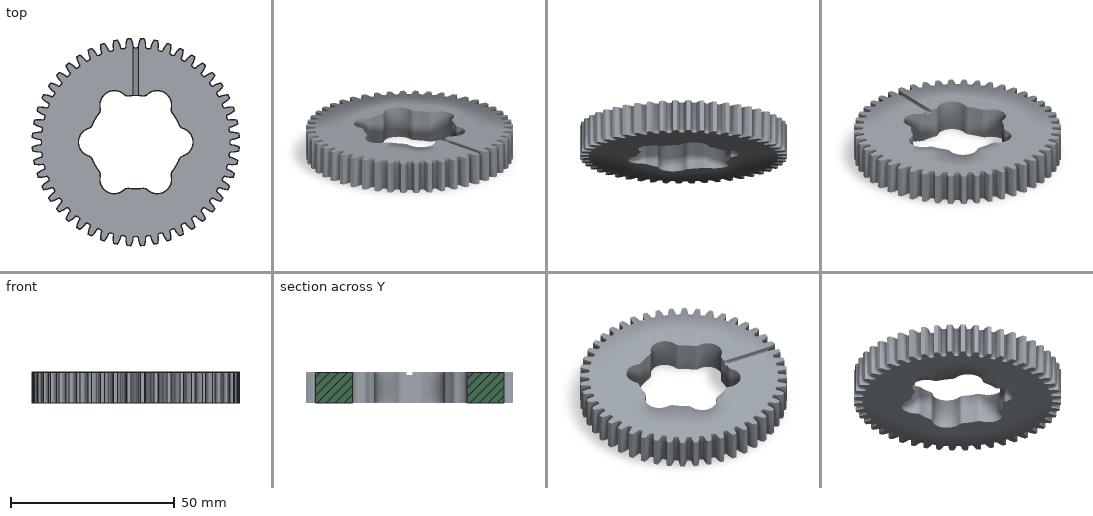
import cadquery as cq
import math

tooth_count = 48
outer_diameter = 63.5
thickness = 9.5
pressure_angle = math.radians(14.5)
root_fillet = 0.5
flank_points = 6

dedendum_factor = 1.25
module = outer_diameter / (tooth_count + 2)
pitch_radius = module * tooth_count / 2
tip_radius = outer_diameter / 2
root_radius = pitch_radius - dedendum_factor * module
base_radius = pitch_radius * math.cos(pressure_angle)

lobe_count = 6
bore_radius = 14.3
lobe_center_radius = 13.1
lobe_radius = 4.4
bore_fillet = 1.9

slot_width = 1.7
slot_depth = 0.95
slot_mouth_fillet = 0.4


def polar(radius, angle):
    return (radius * math.cos(angle), radius * math.sin(angle))


def involute(angle):
    return math.tan(angle) - angle


def gap_flank():
    """Points of one involute side of a tooth gap centered on +X, from the base circle to the tip circle."""
    half_gap_at_base = math.pi / (2 * tooth_count) - involute(pressure_angle)
    roll_at_tip = math.sqrt((tip_radius / base_radius) ** 2 - 1)
    points = []
    for i in range(flank_points):
        roll = roll_at_tip * i / (flank_points - 1)
        radius = base_radius * math.sqrt(1 + roll ** 2)
        points.append(polar(radius, half_gap_at_base + involute(math.atan(roll))))
    return points


def tooth_gap():
    """Space between two teeth, centered on +X, with radial sides below the base circle and a rounded root."""
    flank = gap_flank()
    base_x, base_y = flank[0]
    tip_x, tip_y = flank[-1]
    root_x, root_y = polar(root_radius, math.atan2(base_y, base_x))
    tip_direction = (tip_x - flank[-2][0], tip_y - flank[-2][1])
    outside = tip_radius + module
    mirrored_flank = [(x, -y) for x, y in reversed(flank)]
    gap = (
        cq.Workplane("XY")
        .moveTo(root_x, -root_y)
        .threePointArc((root_radius, 0), (root_x, root_y))
        .lineTo(base_x, base_y)
        .spline(flank[1:], tangents=[(base_x, base_y), tip_direction], includeCurrent=True)
        .lineTo(outside, tip_y)
        .lineTo(outside, -tip_y)
        .lineTo(tip_x, -tip_y)
        .spline(
            mirrored_flank[1:],
            tangents=[(-tip_direction[0], tip_direction[1]), (-base_x, base_y)],
            includeCurrent=True,
        )
        .close()
        .extrude(thickness)
    )
    root_corners = cq.selectors.BoxSelector(
        (root_x - root_fillet / 2, -module, 0),
        (root_x + root_fillet / 2, module, thickness),
    )
    return gap.edges(root_corners).edges("|Z").fillet(root_fillet)


def lobed_bore():
    """Round bore with a ring of round lobes, blended where they meet."""
    bore = cq.Workplane("XY").circle(bore_radius).extrude(thickness)
    lobes = (
        cq.Workplane("XY")
        .polarArray(lobe_center_radius, 0, 360, lobe_count)
        .circle(lobe_radius)
        .extrude(thickness)
    )
    return bore.union(lobes).edges("|Z").fillet(bore_fillet)


def timing_slot():
    """Shallow radial slot along +Y, from the bore out through a tooth gap."""
    return (
        cq.Workplane("XY", origin=(0, 0, thickness - slot_depth))
        .box(slot_width, tip_radius, slot_depth, centered=(True, False, False))
    )


def toothed_blank():
    """Disk with a tooth gap on +Y, where the timing slot runs out, repeated all round."""
    blank = cq.Workplane("XY").circle(tip_radius).extrude(thickness)
    first_gap = tooth_gap().val()
    origin = cq.Vector(0, 0, 0)
    z_axis = cq.Vector(0, 0, 1)
    gaps = [first_gap.rotate(origin, z_axis, 90 + i * 360 / tooth_count) for i in range(tooth_count)]
    return cq.Workplane(blank.val().cut(*gaps))


def round_slot_mouth(body):
    """Round the two upright corners where the timing slot opens into the bore."""
    mouth = cq.selectors.BoxSelector(
        (-slot_width, bore_radius - slot_width, thickness - slot_depth),
        (slot_width, bore_radius + slot_width, thickness),
    )
    return body.edges("|Z").edges(mouth).fillet(slot_mouth_fillet)


result = round_slot_mouth(toothed_blank().cut(lobed_bore()).cut(timing_slot()))